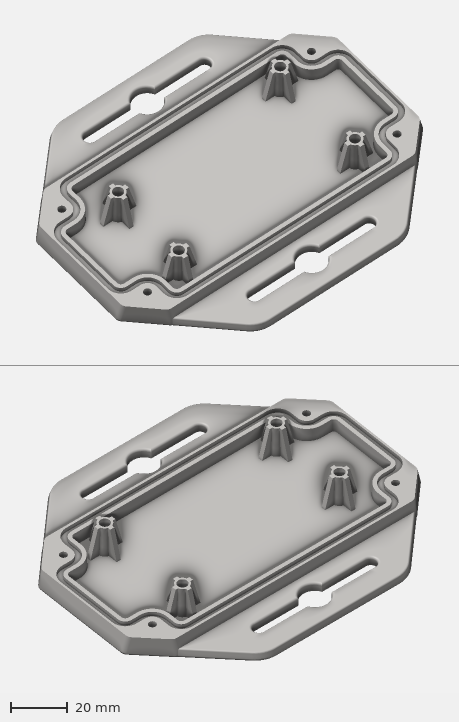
import cadquery as cq
import math

BASE_HALF_WIDTH = 59.0
BASE_HALF_LENGTH = 69.6
DIAGONAL_SUM = 92.5
FLANGE_HEIGHT = 3.7
FLANGE_CORNER_RADIUS = 12.0
FLANGE_END_INSET = 7.0
EDGE_RADIUS = 1.0
FLANGE_TOP_RADIUS = 0.7
DRAFT = 15

BODY_HEIGHT = 8.0
BODY_HALF_WIDTH = 37.2
BODY_DIAGONAL_DRAFT = 8
BODY_CORNER_RADIUS = 3.0

SCREW_X = 24.0
SCREW_Y = 56.6
SCREW_HOLE_DIAMETER = 3.2
GROOVE_HALF_WIDTH = 34.0
GROOVE_HALF_LENGTH = 66.5
GROOVE_CORNER_RADIUS = 6.0
GROOVE_SCREW_RADIUS = 4.0
GROOVE_WIDTH = 2.5
GROOVE_DEPTH = 2.0
RIDGE_WIDTH = 1.7
FLOOR_THICKNESS = 2.5
CAVITY_DRAFT = 3

BOSS_TOP = 15.5
BOSS_DIAMETER = 6.0
BOSS_DRAFT = 2
RIB_TOP_SPAN = 8.0
BOSS_HOLE_DIAMETER = 4.3
RIB_THICKNESS = 2.0
BOSS_CENTERS = [(-21.0, 40.0), (21.0, 40.0), (-13.0, -40.0), (21.0, -40.0)]

SLOT_X = 46.0
SLOT_LENGTH = 57.0
SLOT_WIDTH = 5.0
SLOT_CENTER_DIAMETER = 12.0


def make_slot(side):
    """Keyhole cutter: a long slot with a larger round opening in the middle."""
    middle = cq.Workplane("XY").center(side * SLOT_X, 0)
    slot = middle.slot2D(SLOT_LENGTH, SLOT_WIDTH, 90).extrude(FLANGE_HEIGHT)
    opening = middle.circle(SLOT_CENTER_DIAMETER / 2).extrude(FLANGE_HEIGHT)
    return slot.union(opening)


def make_flange():
    """Plate carrying both side flanges; its plain ends lie inside the body."""
    half_length = BASE_HALF_LENGTH - FLANGE_END_INSET
    end_x = DIAGONAL_SUM - half_length
    side_y = DIAGONAL_SUM - BASE_HALF_WIDTH
    corners = [
        (BASE_HALF_WIDTH, side_y), (end_x, half_length),
        (-end_x, half_length), (-BASE_HALF_WIDTH, side_y),
        (-BASE_HALF_WIDTH, -side_y), (-end_x, -half_length),
        (end_x, -half_length), (BASE_HALF_WIDTH, -side_y),
    ]
    plate = cq.Workplane("XY").polyline(corners).close().extrude(FLANGE_HEIGHT, taper=DRAFT)
    plate = plate.edges("not(#Z)").fillet(FLANGE_CORNER_RADIUS)
    plate = plate.faces("<Z").edges().fillet(EDGE_RADIUS)
    plate = plate.faces(">Z").edges().fillet(FLANGE_TOP_RADIUS)
    for side in (-1, 1):
        plate = plate.cut(make_slot(side))
    slot_rims = cq.Workplane("XY").add([wire for wire in plate.faces(">Z").val().innerWires()])
    return plate.newObject(slot_rims.edges().vals()).fillet(EDGE_RADIUS)


def make_body():
    """Drafted block whose corners are cut by a drafted 45 degree square."""
    block = (
        cq.Workplane("XY")
        .rect(2 * BODY_HALF_WIDTH, 2 * BASE_HALF_LENGTH)
        .extrude(BODY_HEIGHT, taper=DRAFT)
    )
    corner_cut = (
        cq.Workplane("XY")
        .transformed(rotate=(0, 0, 45))
        .rect(DIAGONAL_SUM * math.sqrt(2), DIAGONAL_SUM * math.sqrt(2))
        .extrude(BODY_HEIGHT, taper=BODY_DIAGONAL_DRAFT)
    )
    body = block.intersect(corner_cut)
    body = body.edges("not(#Z)").fillet(BODY_CORNER_RADIUS)
    return body.faces("<Z").edges().fillet(EDGE_RADIUS)


def rim_outline(inset, z):
    """Tray outline with rounded notches around the screw holes, inset from the groove."""
    x = GROOVE_HALF_WIDTH - inset
    y = GROOVE_HALF_LENGTH - inset
    convex = GROOVE_CORNER_RADIUS - inset
    concave = GROOVE_SCREW_RADIUS + inset
    notch_x = SCREW_X - concave
    notch_y = SCREW_Y - concave
    diagonal = math.sqrt(0.5)

    side_arc = (
        (x, notch_y - convex),
        (x - convex + convex * diagonal, notch_y - convex + convex * diagonal),
        (x - convex, notch_y),
    )
    screw_arc = (
        (SCREW_X, notch_y),
        (SCREW_X - concave * diagonal, SCREW_Y - concave * diagonal),
        (notch_x, SCREW_Y),
    )
    end_arc = (
        (notch_x, y - convex),
        (notch_x - convex + convex * diagonal, y - convex + convex * diagonal),
        (notch_x - convex, y),
    )
    quadrant = [side_arc, screw_arc, end_arc]
    reverse = [arc[::-1] for arc in quadrant[::-1]]

    outline = cq.Workplane("XY").workplane(offset=z).moveTo(x, 0)
    for sx, sy, arcs in [(1, 1, quadrant), (-1, 1, reverse), (-1, -1, quadrant), (1, -1, reverse)]:
        for arc in arcs:
            start, middle, finish = [(sx * px, sy * py) for px, py in arc]
            outline = outline.lineTo(*start).threePointArc(middle, finish)
    return outline.close()


def make_groove():
    bottom = BODY_HEIGHT - GROOVE_DEPTH
    outer = rim_outline(0, bottom).extrude(GROOVE_DEPTH)
    inner = rim_outline(GROOVE_WIDTH, bottom).extrude(GROOVE_DEPTH)
    return outer.cut(inner)


def make_cavity():
    depth = BODY_HEIGHT - FLOOR_THICKNESS
    outline = rim_outline(GROOVE_WIDTH + RIDGE_WIDTH, BODY_HEIGHT)
    return outline.extrude(-depth, taper=CAVITY_DRAFT)


def make_boss():
    """Screw boss centred on the origin, with four sloping ribs."""
    height = BOSS_TOP - FLOOR_THICKNESS
    top_half = RIB_TOP_SPAN / 2
    foot_half = top_half + height * math.tan(math.radians(DRAFT))
    rib_profile = [
        (-foot_half, FLOOR_THICKNESS), (foot_half, FLOOR_THICKNESS),
        (top_half, BOSS_TOP), (-top_half, BOSS_TOP),
    ]
    top = cq.Workplane("XY").workplane(offset=BOSS_TOP)
    boss = top.circle(BOSS_DIAMETER / 2).extrude(-height, taper=-BOSS_DRAFT)
    for plane in ("XZ", "YZ"):
        rib = cq.Workplane(plane).polyline(rib_profile).close()
        boss = boss.union(rib.extrude(RIB_THICKNESS / 2, both=True))
    return boss.cut(top.circle(BOSS_HOLE_DIAMETER / 2).extrude(-height))


screw_holes = (
    cq.Workplane("XY")
    .rect(2 * SCREW_X, 2 * SCREW_Y, forConstruction=True)
    .vertices()
    .circle(SCREW_HOLE_DIAMETER / 2)
    .extrude(BODY_HEIGHT)
)

result = make_flange().union(make_body())
result = result.cut(make_groove()).cut(make_cavity()).cut(screw_holes)
boss = make_boss()
for x, y in BOSS_CENTERS:
    result = result.union(boss.translate((x, y, 0)))